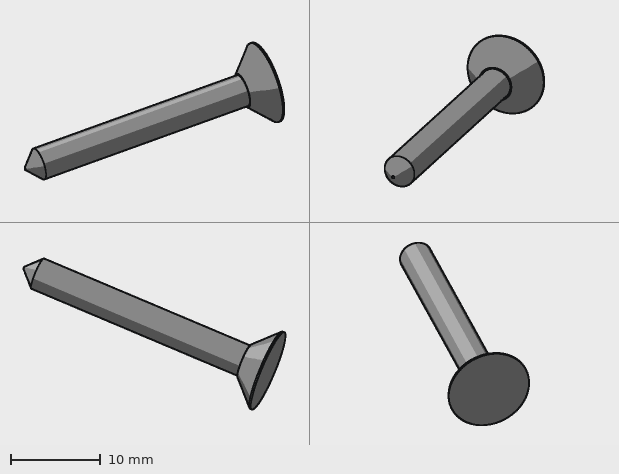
import cadquery as cq

total_length = 30.0
head_diameter = 9.4
head_height = 2.9
rim_thickness = 0.2
shank_diameter = 3.7
tip_diameter = 0.3

head_radius = head_diameter / 2
neck_radius = head_radius - (head_height - rim_thickness)
shank_radius = shank_diameter / 2
tip_radius = tip_diameter / 2
point_length = shank_radius - tip_radius

rim_y = -rim_thickness
neck_y = -head_height
tip_y = -total_length
shank_end_y = tip_y + point_length

half_profile = (
    cq.Workplane("XY")
    .moveTo(0, 0)
    .lineTo(head_radius, 0)
    .lineTo(head_radius, rim_y)
    .lineTo(neck_radius, neck_y)
    .lineTo(shank_radius, neck_y)
    .lineTo(shank_radius, shank_end_y)
    .lineTo(tip_radius, tip_y)
    .lineTo(0, tip_y)
    .close()
)

result = half_profile.revolve(360, (0, 0, 0), (0, 1, 0))